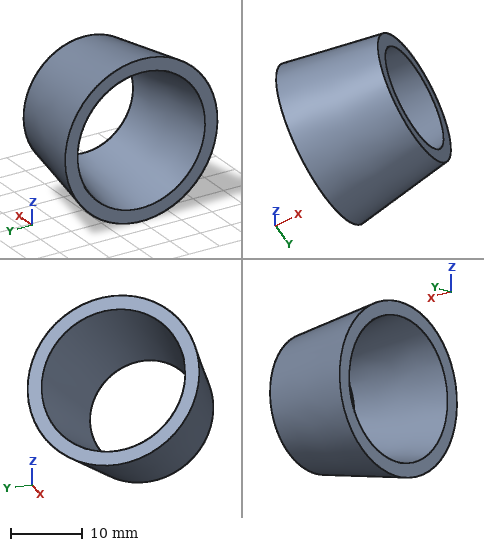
import cadquery as cq

length = 15.0
wall = 2.05
large_outer_radius = 12.5
small_outer_radius = 10.0


def tapered_plug(large_radius, small_radius):
    """Solid cone frustum on the X axis, narrowing toward +X."""
    return cq.Workplane(
        cq.Solid.makeCone(large_radius, small_radius, length, dir=cq.Vector(1, 0, 0))
    )


outer = tapered_plug(large_outer_radius, small_outer_radius)
bore = tapered_plug(large_outer_radius - wall, small_outer_radius - wall)
result = outer.cut(bore)